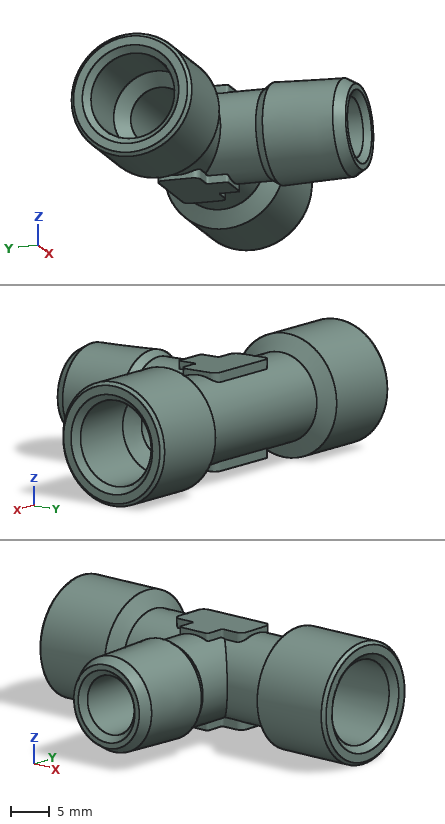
import cadquery as cq
import math

length = 49.0
bore_diameter = 8.0
neck_diameter = 12.0
socket_diameter = 16.5
socket_length = 11.4
socket_edge_chamfer = 0.45
shoulder_angle = 30.0

socket_bore_diameter = 11.45
socket_mouth_diameter = 13.25
socket_bore_depth = 10.0
socket_cone_angle = 45.0

overall_depth = 31.25
branch_reach = overall_depth - socket_diameter / 2
branch_neck_end = 10.85
male_start = 12.0
male_diameter = 13.5
male_taper = 1 / 16
male_chamfer_length = 1.45
male_chamfer_angle = 30.0
branch_mouth_diameter = 9.7

pad_height = 6.55
pad_half_width = 5.85
pad_half_depth = 2.9
tongue_half_width = 2.45
tongue_reach = 5.8
pad_corner_radius = 1.0
tongue_corner_radius = 0.35


def tangent(degrees):
    return math.tan(math.radians(degrees))


def revolve_both_ways(half_profile):
    """Revolve about X an (x, radius) profile that runs from mid-length to the +X end."""
    mirrored = [(-x, radius) for x, radius in reversed(half_profile)]
    end = length / 2
    outline = [(-end, 0)] + mirrored + half_profile + [(end, 0)]
    return cq.Workplane("XY").polyline(outline).close().revolve(360, (0, 0, 0), (1, 0, 0))


def make_run():
    """Neck with a shouldered socket at each end."""
    end = length / 2
    socket_radius = socket_diameter / 2
    neck_radius = neck_diameter / 2
    socket_start = end - socket_length
    shoulder_length = (socket_radius - neck_radius) * tangent(shoulder_angle)
    return revolve_both_ways([
        (socket_start - shoulder_length, neck_radius),
        (socket_start, socket_radius),
        (end - socket_edge_chamfer, socket_radius),
        (end, socket_radius - socket_edge_chamfer),
    ])


def make_run_bore():
    """Through bore with a cone-bottomed socket and a 45 degree mouth at each end."""
    end = length / 2
    bore_radius = bore_diameter / 2
    socket_radius = socket_bore_diameter / 2
    mouth_radius = socket_mouth_diameter / 2
    cone_start = end - socket_bore_depth
    cone_length = (socket_radius - bore_radius) / tangent(socket_cone_angle)
    return revolve_both_ways([
        (cone_start - cone_length, bore_radius),
        (cone_start, socket_radius),
        (end - (mouth_radius - socket_radius), socket_radius),
        (end, mouth_radius),
    ])


def make_branch():
    """Plain neck that widens into the tapered male end."""
    neck_radius = neck_diameter / 2
    chamfer_start = branch_reach - male_chamfer_length
    male_end_radius = (male_diameter - (chamfer_start - male_start) * male_taper) / 2
    tip_radius = male_end_radius - male_chamfer_length * tangent(male_chamfer_angle)
    return (
        cq.Workplane("XY")
        .moveTo(0, 0)
        .lineTo(neck_radius, 0)
        .lineTo(neck_radius, -branch_neck_end)
        .lineTo(male_diameter / 2, -male_start)
        .lineTo(male_end_radius, -chamfer_start)
        .lineTo(tip_radius, -branch_reach)
        .lineTo(0, -branch_reach)
        .close()
        .revolve(360, (0, 0, 0), (0, 1, 0))
    )


def make_branch_bore():
    """Bore from the branch tip to the run axis, with a 45 degree mouth."""
    bore_radius = bore_diameter / 2
    mouth_radius = branch_mouth_diameter / 2
    return (
        cq.Workplane("XY")
        .moveTo(0, 0)
        .lineTo(bore_radius, 0)
        .lineTo(bore_radius, -branch_reach + mouth_radius - bore_radius)
        .lineTo(mouth_radius, -branch_reach)
        .lineTo(0, -branch_reach)
        .close()
        .revolve(360, (0, 0, 0), (0, 1, 0))
    )


def make_pads():
    """T-shaped prism through the junction; both of its ends stand proud as pads."""
    tongue_length = tongue_reach + pad_half_depth
    bar = (
        cq.Workplane("XY")
        .box(2 * pad_half_width, 2 * pad_half_depth, 2 * pad_height)
        .edges("|Z")
        .fillet(pad_corner_radius)
    )
    tongue = (
        cq.Workplane("XY")
        .center(0, pad_half_depth - tongue_length / 2)
        .box(2 * tongue_half_width, tongue_length, 2 * pad_height)
        .edges("|Z and <Y")
        .fillet(tongue_corner_radius)
    )
    margin = 0.05
    inner_corners = cq.selectors.BoxSelector(
        (-tongue_half_width - margin, -pad_half_depth - margin, -pad_height),
        (tongue_half_width + margin, -pad_half_depth + margin, pad_height),
    )
    return bar.union(tongue).edges("|Z").edges(inner_corners).fillet(tongue_corner_radius)


solid_body = make_run().union(make_branch()).union(make_pads())
result = solid_body.cut(make_run_bore()).cut(make_branch_bore())